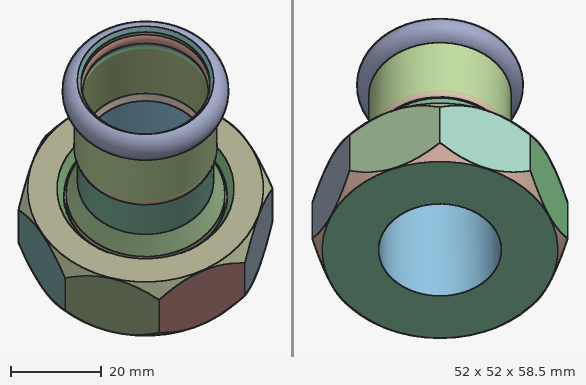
import cadquery as cq
import math

side_count = 8
across_flats = 52.0
nut_height = 19.4
nut_face_diameter = 51.9
nut_chamfer_angle = 30
countersink_diameter = 38.95
countersink_depth = 2.45
countersink_floor_diameter = 36.0
clearance_depth = 1.15

total_height = 58.5
neck_diameter = 30.0
socket_diameter = 31.4
collar_diameter = 35.0
cone_bottom = 17.6
cone_top = 22.4
step_bottom = 33.5
step_top = 35.35
shoulder_diameter = 30.65
shoulder_radius = 2.05

bead_diameter = 36.6
bead_height = 7.4

bore_diameter = 27.0
socket_bore_diameter = 28.4
socket_entry_diameter = 28.8
mouth_diameter = 30.0
mouth_depth = 1.0
lip_depth = 2.0
socket_entry_depth = 6.4
socket_bore_depth = 7.15

seal_inner_diameter = 27.6
seal_section_radius = 2.05
seal_depth = 4.0
seal_center_radius = seal_inner_diameter / 2 + seal_section_radius


def revolve_profile(profile):
    """Revolve a closed XZ profile around the Z axis."""
    return profile.close().revolve(360, (0, 0, 0), (0, 1, 0))


def make_nut():
    corner_radius = across_flats / 2 / math.cos(math.pi / side_count)
    face_radius = nut_face_diameter / 2
    chamfer_height = (corner_radius - face_radius) / math.tan(math.radians(nut_chamfer_angle))
    octagon = (
        cq.Workplane("XY")
        .polygon(side_count, 2 * corner_radius)
        .extrude(nut_height)
        .rotate((0, 0, 0), (0, 0, 1), 180 / side_count)
    )
    corner_envelope = revolve_profile(
        cq.Workplane("XZ")
        .moveTo(0, 0)
        .lineTo(face_radius, 0)
        .lineTo(corner_radius, chamfer_height)
        .lineTo(corner_radius, nut_height - chamfer_height)
        .lineTo(face_radius, nut_height)
        .lineTo(0, nut_height)
    )
    countersink = revolve_profile(
        cq.Workplane("XZ")
        .moveTo(0, nut_height - countersink_depth - clearance_depth)
        .lineTo(countersink_floor_diameter / 2, nut_height - countersink_depth - clearance_depth)
        .lineTo(countersink_floor_diameter / 2, nut_height - countersink_depth)
        .lineTo(countersink_diameter / 2, nut_height)
        .lineTo(0, nut_height)
    )
    return octagon.intersect(corner_envelope).cut(countersink)


def make_sleeve():
    bead_radius = bead_height / 2
    bead_bottom = total_height - bead_height
    return revolve_profile(
        cq.Workplane("XZ")
        .moveTo(0, 0)
        .lineTo(collar_diameter / 2, 0)
        .lineTo(collar_diameter / 2, cone_bottom)
        .lineTo(neck_diameter / 2, cone_top)
        .lineTo(neck_diameter / 2, step_bottom)
        .lineTo(shoulder_diameter / 2, step_bottom)
        .radiusArc((socket_diameter / 2, step_top), -shoulder_radius)
        .lineTo(socket_diameter / 2, bead_bottom)
        .threePointArc(
            (bead_diameter / 2, bead_bottom + bead_radius),
            (mouth_diameter / 2, total_height),
        )
        .lineTo(0, total_height)
    )


def make_bore():
    entry_radius = socket_entry_diameter / 2
    socket_bore_radius = socket_bore_diameter / 2
    return revolve_profile(
        cq.Workplane("XZ")
        .moveTo(0, 0)
        .lineTo(bore_diameter / 2, 0)
        .lineTo(bore_diameter / 2, step_bottom)
        .lineTo(socket_bore_radius, step_top)
        .lineTo(socket_bore_radius, total_height - socket_bore_depth)
        .lineTo(entry_radius, total_height - socket_entry_depth)
        .lineTo(entry_radius, total_height - seal_depth)
        .lineTo(seal_center_radius, total_height - seal_depth)
        .lineTo(seal_center_radius, total_height - lip_depth)
        .lineTo(socket_bore_radius, total_height - lip_depth)
        .lineTo(socket_bore_radius, total_height - mouth_depth)
        .lineTo(mouth_diameter / 2, total_height)
        .lineTo(0, total_height)
    )


def make_seal_ring():
    return (
        cq.Workplane("XZ")
        .center(seal_center_radius, total_height - seal_depth)
        .circle(seal_section_radius)
        .revolve(360, (-seal_center_radius, 0, 0), (-seal_center_radius, 1, 0))
    )


fitting = make_nut().union(make_sleeve()).cut(make_bore())
result = fitting.union(make_seal_ring())